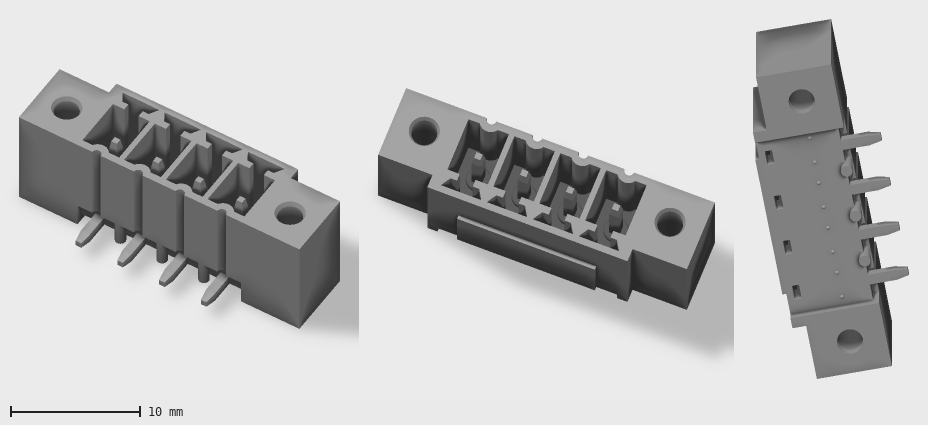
import cadquery as cq


pin_count = 4
row_length = 11.43
pitch = row_length / (pin_count - 1)
pin_xs = [index * pitch - row_length / 2 for index in range(pin_count)]
gap_xs = [x + pitch / 2 for x in pin_xs[:-1]]

length = 25.63
height = 9.2
body_depth = 5.9
back_length = 16.6
back_depth = 1.08
housing_depth = body_depth + back_depth

rib_thickness = 0.3
rib_bottom = 0.8
rib_top = 5.45

channel_length = 14.92
channel_height = 0.8
recess_height = 2.15
recess_depth = 0.49
post_diameter = 0.9
stud_diameter = 0.3
stud_offset = 1.03

front_wall = 0.62
chamber_width = 3.35
chamber_back = 5.05
neck_width = 1.3
dovetail_front = 5.65
dovetail_front_width = 2.38
dovetail_back = 6.43
floor_top = recess_height + front_wall
window_width = 1.15
window_depth = 0.56

groove_radius = 0.38
bulge_radius = 0.87
bulge_center_y = 0.15

boss_diameter = 1.97
boss_height = 0.3
boss_chamfer = 0.08

pin_width = 0.82
pin_tip_width = 0.5
pin_taper = 1.0
pin_y = 2.8
pin_reach = 2.61
pin_top = 8.12
tail_z = channel_height + pin_width / 2

insert_spacing = 20.4
insert_xs = [-insert_spacing / 2, insert_spacing / 2]
insert_y = pin_y
insert_diameter = 2.7
insert_bore = 2.02
insert_mouth = 2.4
insert_mouth_depth = 0.35


def block(size_x, y_range, z_range, x=0.0):
    """Box centred on x, spanning the given Y and Z ranges."""
    size_y = y_range[1] - y_range[0]
    size_z = z_range[1] - z_range[0]
    corner = (x - size_x / 2, y_range[0], z_range[0])
    return cq.Workplane("XY").box(size_x, size_y, size_z, centered=False).translate(corner)


def cylinder(diameter, x, y, z_range):
    """Vertical cylinder spanning the given Z range."""
    base = cq.Workplane("XY", origin=(x, y, z_range[0]))
    return base.circle(diameter / 2).extrude(z_range[1] - z_range[0])


def chamber(x):
    """Open-topped pin chamber: a box, a neck and a dovetail keyway, less the groove bulge and boss."""
    outline = [
        (chamber_width / 2, front_wall),
        (chamber_width / 2, chamber_back),
        (neck_width / 2, chamber_back),
        (neck_width / 2, dovetail_front),
        (dovetail_front_width / 2, dovetail_front),
        (chamber_width / 2, dovetail_back),
    ]
    mirrored = [(-px, py) for px, py in reversed(outline)]
    base = cq.Workplane("XY", origin=(x, 0, floor_top))
    space = base.polyline(outline + mirrored).close().extrude(height - floor_top)

    bulge = cylinder(2 * bulge_radius, x, bulge_center_y, (floor_top, height))
    boss = cylinder(boss_diameter, x, pin_y, (floor_top, floor_top + boss_height))
    boss = boss.faces(">Z").chamfer(boss_chamfer)
    return space.cut(bulge).cut(boss)


def window(x):
    """Opening through the floor at the back of a dovetail keyway."""
    return block(window_width, (dovetail_back - window_depth, dovetail_back), (0, height), x)


def studs(x):
    """Pair of small hemispherical studs under the floor, one each side of a pin."""
    centers = [(x - stud_offset, pin_y), (x + stud_offset, pin_y)]
    underside = cq.Workplane("XY", origin=(0, 0, channel_height))
    return underside.pushPoints(centers).sphere(stud_diameter / 2)


def pin(x):
    """Right-angle square pin: a vertical leg and a forward tail, both with tapered ends."""
    half = pin_width / 2
    leg_shoulder = pin_top - pin_taper
    tail_shoulder = pin_reach - pin_taper

    leg = block(pin_width, (pin_y - half, pin_y + half), (tail_z - half, leg_shoulder), x)
    tail = block(pin_width, (-tail_shoulder, pin_y), (tail_z - half, tail_z + half), x)

    leg_end = cq.Workplane("XY", origin=(x, pin_y, leg_shoulder)).rect(pin_width, pin_width)
    leg_end = leg_end.workplane(offset=pin_taper).rect(pin_tip_width, pin_tip_width).loft()

    tail_end = cq.Workplane("XZ", origin=(x, -tail_shoulder, tail_z)).rect(pin_width, pin_width)
    tail_end = tail_end.workplane(offset=pin_taper).rect(pin_tip_width, pin_tip_width).loft()
    return leg.union(tail).union(leg_end).union(tail_end)


def insert(x):
    """Round insert through a flange, with a bore that widens in a cone at the top."""
    section = [
        (insert_bore / 2, 0),
        (insert_diameter / 2, 0),
        (insert_diameter / 2, height),
        (insert_mouth / 2, height),
        (insert_bore / 2, height - insert_mouth_depth),
    ]
    profile = cq.Workplane("XZ", origin=(x, insert_y, 0)).polyline(section).close()
    return profile.revolve(360, (0, 0), (0, 1))


def housing(pins):
    """Flanged housing, cut to fit the pins and the inserts."""
    body = block(length, (0, body_depth), (0, height))
    body = body.union(block(back_length, (0, housing_depth), (0, height)))
    rib = block(row_length, (body_depth, housing_depth + rib_thickness), (rib_bottom, rib_top))
    body = body.union(rib)

    body = body.cut(block(channel_length, (0, housing_depth), (0, channel_height)))
    body = body.cut(block(channel_length, (0, recess_depth), (0, recess_height)))
    for x in gap_xs:
        body = body.union(cylinder(post_diameter, x, post_diameter / 2, (0, recess_height)))

    for x in pin_xs:
        body = body.cut(chamber(x))
        body = body.cut(window(x))
        body = body.cut(cylinder(2 * groove_radius, x, 0, (0, height)))
        body = body.union(studs(x))
    for x in insert_xs:
        body = body.cut(cylinder(insert_diameter, x, insert_y, (0, height)))
    for one_pin in pins:
        body = body.cut(one_pin)
    return body


contact_pins = [pin(x) for x in pin_xs]
flange_inserts = [insert(x) for x in insert_xs]
connector_housing = housing(contact_pins)

result = cq.Compound.makeCompound(
    [
        connector_housing.val(),
        *[contact_pin.val() for contact_pin in contact_pins],
        *[flange_insert.val() for flange_insert in flange_inserts],
    ]
)